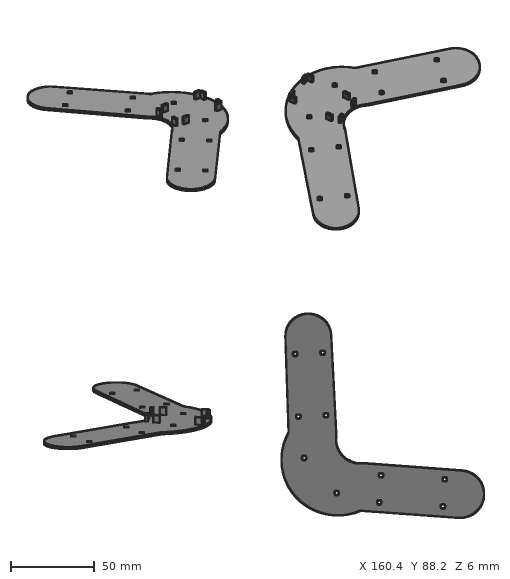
import cadquery as cq
import math

plate_thickness = 1.5
hub_radius = 33.8
notch_radius = 14.5
notch_center_y = -18.1

left_end_center = (-67.5, -37.5)
left_end_radius = 13.8
right_end_center = (64.6, -39.9)
right_end_radius = 14.5

hub_corner_x = 32.0
notch_left_x = -11.4
notch_right_x = 12.0

hole_diameter = 2.7
hub_hole_x = 14.5
hub_hole_y = 14.1
arm_hole_length = 38.1
arm_hole_width = 16.5
left_hole_center = (-44.9, -18.8)
left_hole_angle = 180 + 39.4
right_hole_center = (43.8, -20.0)
right_hole_angle = -44.0

tab_height = 4.5
tab_thickness = 1.5
board_half_width = 9.0
board_top_y = 30.1
board_bottom_y = -2.9
end_tab_width = 3.5
side_tab_length = 3.8
upper_side_tab_y = 28.5
lower_side_tab_y = 2.9


def tangent_point(corner, center, radius, side):
    """Point where a line from corner touches a circle; side is +1 or -1 (counterclockwise or clockwise)."""
    dx = corner[0] - center[0]
    dy = corner[1] - center[1]
    angle = math.atan2(dy, dx) + side * math.acos(radius / math.hypot(dx, dy))
    return (center[0] + radius * math.cos(angle), center[1] + radius * math.sin(angle))


def far_point(center, radius):
    """Point of an arm end farthest from the hub centre."""
    stretch = 1 + radius / math.hypot(*center)
    return (center[0] * stretch, center[1] * stretch)


def notch_point(x):
    return (x, notch_center_y + math.sqrt(notch_radius**2 - x**2))


def make_plate():
    hub_corner_y = math.sqrt(hub_radius**2 - hub_corner_x**2)
    hub_left = (-hub_corner_x, hub_corner_y)
    hub_right = (hub_corner_x, hub_corner_y)
    notch_left = notch_point(notch_left_x)
    notch_right = notch_point(notch_right_x)
    right_upper = tangent_point(hub_right, right_end_center, right_end_radius, -1)
    right_lower = tangent_point(notch_right, right_end_center, right_end_radius, 1)
    left_upper = tangent_point(hub_left, left_end_center, left_end_radius, 1)
    left_lower = tangent_point(notch_left, left_end_center, left_end_radius, -1)
    return (
        cq.Workplane("XY")
        .moveTo(*hub_left)
        .threePointArc((0, hub_radius), hub_right)
        .lineTo(*right_upper)
        .threePointArc(far_point(right_end_center, right_end_radius), right_lower)
        .lineTo(*notch_right)
        .threePointArc(notch_point(0), notch_left)
        .lineTo(*left_lower)
        .threePointArc(far_point(left_end_center, left_end_radius), left_upper)
        .close()
        .extrude(plate_thickness)
    )


def arm_holes(center, angle):
    """Centres of a rectangle of four holes turned along an arm."""
    cosine = math.cos(math.radians(angle))
    sine = math.sin(math.radians(angle))
    points = []
    for along in (-arm_hole_length / 2, arm_hole_length / 2):
        for across in (-arm_hole_width / 2, arm_hole_width / 2):
            x = center[0] + along * cosine - across * sine
            y = center[1] + along * sine + across * cosine
            points.append((x, y))
    return points


def make_holes():
    points = [(-hub_hole_x, hub_hole_y), (hub_hole_x, hub_hole_y)]
    points += arm_holes(left_hole_center, left_hole_angle)
    points += arm_holes(right_hole_center, right_hole_angle)
    return cq.Workplane("XY").pushPoints(points).circle(hole_diameter / 2).extrude(plate_thickness)


def make_tabs():
    end_x = board_half_width - end_tab_width / 2
    side_x = board_half_width + tab_thickness / 2
    end_ys = (board_top_y + tab_thickness / 2, board_bottom_y - tab_thickness / 2)
    end_points = [(sign * end_x, y) for sign in (-1, 1) for y in end_ys]
    side_points = [(sign * side_x, y) for sign in (-1, 1) for y in (upper_side_tab_y, lower_side_tab_y)]
    full_height = plate_thickness + tab_height
    end_tabs = cq.Workplane("XY").pushPoints(end_points).rect(end_tab_width, tab_thickness).extrude(full_height)
    side_tabs = cq.Workplane("XY").pushPoints(side_points).rect(tab_thickness, side_tab_length).extrude(full_height)
    return end_tabs.union(side_tabs)


result = make_plate().cut(make_holes()).union(make_tabs())